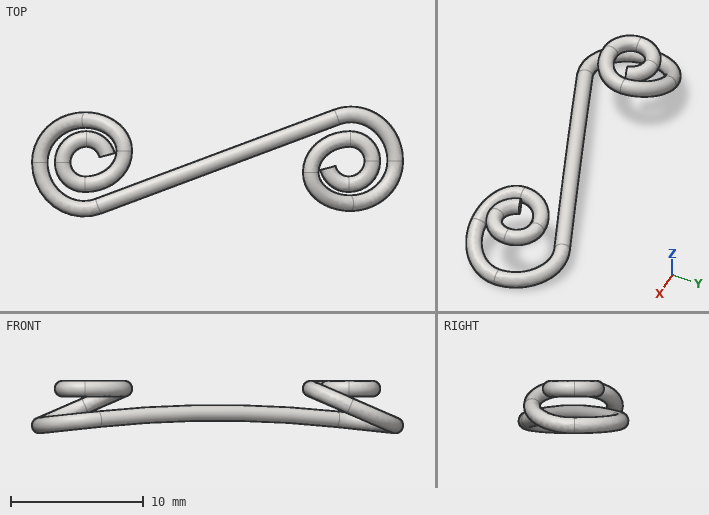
import cadquery as cq
import math

wire_diameter = 1.2
length = 28.02
height = 3.98

bow_angle = 20.5
bow_half_span = 9.58
bow_rise = 0.48

high_z = (height - wire_diameter) / 2
low_z = -high_z

outer_left_x = -(length - wire_diameter) / 2
outer_left_y = -0.05
outer_top_x = -10.0
outer_top_y = 3.15
outer_right_x = -7.03
outer_right_y = 0.8
inner_bottom_x = -10.0
inner_bottom_y = -1.7
inner_left_x = -11.68
inner_left_y = -0.05
inner_top_x = -9.9
inner_top_y = 1.7
tip_x = -8.32
tip_y = 0.48
tip_lean = 15.0

bow_end_slope = math.tan(2 * math.atan(bow_rise / bow_half_span))
corner_distance = -outer_left_x / math.cos(math.radians(bow_angle))
bow_end_z = low_z + bow_end_slope * (corner_distance - bow_half_span)
bow_crest_z = bow_end_z + bow_rise


def bend(start, corner, end, turn=90.0):
    """Smooth bend whose end tangents meet at corner; a circular arc when its legs are equal."""
    pull = 4 / 3 * math.tan(math.radians(turn / 4)) / math.tan(math.radians(turn / 2))
    start, corner, end = cq.Vector(start), cq.Vector(corner), cq.Vector(end)
    start_handle = start + (corner - start) * pull
    end_handle = end + (corner - end) * pull
    return cq.Edge.makeBezier([start, start_handle, end_handle, end])


def bow_point(distance, z):
    """Point on the bow's vertical plane, at a distance from the Z axis toward -X."""
    angle = math.radians(bow_angle)
    return (-distance * math.cos(angle), -distance * math.sin(angle), z)


def bow_edge():
    """The bow, a circular arc level at its crest."""
    return cq.Edge.makeThreePointArc(
        cq.Vector(bow_point(bow_half_span, bow_end_z)),
        cq.Vector(bow_point(0, bow_crest_z)),
        cq.Vector(bow_point(-bow_half_span, bow_end_z)),
    )


def spiral_edges():
    """Bends from the end of the bow, up the sloping turn and around the level coil."""
    climb = (high_z - low_z) / (outer_right_x - outer_left_x)
    outer_top_z = low_z + climb * (outer_top_x - outer_left_x)
    tip_corner_x = tip_x - (inner_top_y - tip_y) * math.tan(math.radians(tip_lean))

    bow_end = bow_point(bow_half_span, bow_end_z)
    outer_left = (outer_left_x, outer_left_y, low_z)
    outer_top = (outer_top_x, outer_top_y, outer_top_z)
    outer_right = (outer_right_x, outer_right_y, high_z)
    inner_bottom = (inner_bottom_x, inner_bottom_y, high_z)
    inner_left = (inner_left_x, inner_left_y, high_z)
    inner_top = (inner_top_x, inner_top_y, high_z)
    tip = (tip_x, tip_y, high_z)

    return [
        bend(bow_end, bow_point(corner_distance, low_z), outer_left, 90 + bow_angle),
        bend(outer_left, (outer_left_x, outer_top_y, low_z), outer_top),
        bend(outer_top, (outer_right_x, outer_top_y, high_z), outer_right),
        bend(outer_right, (outer_right_x, inner_bottom_y, high_z), inner_bottom),
        bend(inner_bottom, (inner_left_x, inner_bottom_y, high_z), inner_left),
        bend(inner_left, (inner_left_x, inner_top_y, high_z), inner_top),
        bend(inner_top, (tip_corner_x, inner_top_y, high_z), tip, 90 - tip_lean),
    ]


left_spiral = spiral_edges()
right_spiral = [edge.rotate(cq.Vector(), cq.Vector(0, 0, 1), 180) for edge in left_spiral]
path = cq.Wire.combine(left_spiral + [bow_edge()] + right_spiral)[0]

last_bend = left_spiral[-1]
tip_plane = cq.Plane(origin=last_bend.endPoint(), normal=last_bend.tangentAt(1))
section = cq.Workplane(tip_plane).circle(wire_diameter / 2)
result = section.sweep(cq.Workplane(obj=path))